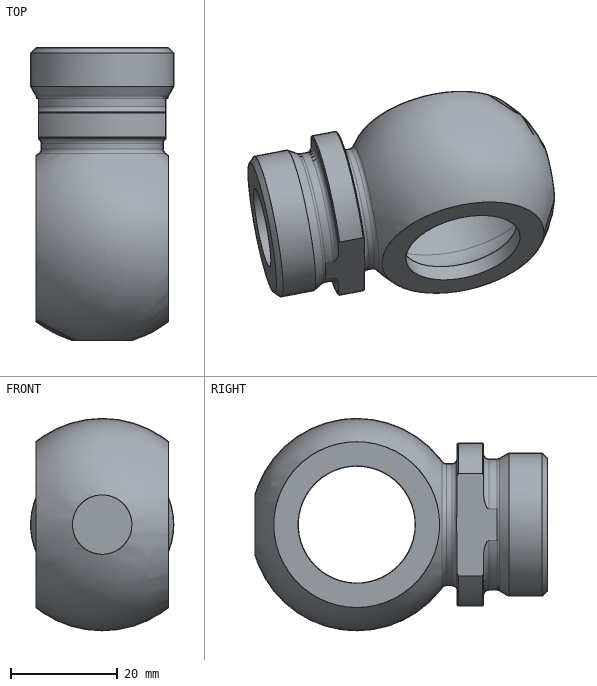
import cadquery as cq
import math

ball_radius = 20.01
eye_width = 25.0
nose_flat_y = -19.2
eye_bore_diameter = 22.0

chamber_diameter = 32.0
chamber_floor_width = 7.2
chamber_fillet = 6.0

stem_end_y = nose_flat_y + 55.2
stem_bore_diameter = 15.0
ball_neck_radius = 23.0 / 2
thread_radius = 27.0 / 2
end_chamfer = 1.05
thread_start_y = 28.65
undercut_radius = 12.35
undercut_cone_angle = 30
neck_fillet = 1.0

collar_radius = 15.4
collar_front_y = 18.95
collar_back_y = 23.9
collar_chamfer = 0.2
flats_width = 24.0
flats_back_y = 26.45


def make_ball():
    ball = cq.Workplane("XY").sphere(ball_radius)
    trimmed_length = ball_radius - nose_flat_y
    envelope = cq.Workplane("XY").box(eye_width, trimmed_length, 2 * ball_radius)
    return ball.intersect(envelope.translate((0, nose_flat_y + trimmed_length / 2, 0)))


def make_ball_neck():
    """Inner stem section: a neck flaring tangentially onto the ball."""
    arc_center_r = ball_neck_radius + neck_fillet
    arc_center_y = math.sqrt((ball_radius + neck_fillet) ** 2 - arc_center_r ** 2)
    contact_scale = ball_radius / (ball_radius + neck_fillet)
    contact_r = arc_center_r * contact_scale
    contact_y = arc_center_y * contact_scale
    middle_angle = math.atan2(arc_center_y, arc_center_r) / 2
    arc_middle = (
        arc_center_r - neck_fillet * math.cos(middle_angle),
        arc_center_y - neck_fillet * math.sin(middle_angle),
    )
    return (
        cq.Workplane("XY")
        .moveTo(0, 0)
        .lineTo(contact_r, contact_y)
        .threePointArc(arc_middle, (ball_neck_radius, arc_center_y))
        .lineTo(ball_neck_radius, collar_front_y)
        .lineTo(0, collar_front_y)
        .close()
        .revolve(360, (0, 0, 0), (0, 1, 0))
        .intersect(cq.Workplane("XY").box(eye_width, 2 * stem_end_y, 2 * ball_radius))
    )


def make_stem():
    cone_length = (thread_radius - undercut_radius) / math.tan(math.radians(undercut_cone_angle))
    undercut_end_y = thread_start_y - cone_length
    tangent_length = neck_fillet * math.tan(math.radians(undercut_cone_angle / 2))
    cone_sin = math.sin(math.radians(undercut_cone_angle))
    cone_cos = math.cos(math.radians(undercut_cone_angle))
    undercut_tangent = (undercut_radius, undercut_end_y - tangent_length)
    cone_tangent = (
        undercut_radius + tangent_length * cone_sin,
        undercut_end_y + tangent_length * cone_cos,
    )
    front_arc_center = (ball_neck_radius + neck_fillet, collar_front_y - neck_fillet)
    back_arc_center = (undercut_radius + neck_fillet, collar_back_y + neck_fillet)
    half_leg = neck_fillet * math.sqrt(0.5)
    return (
        cq.Workplane("XY")
        .moveTo(0, front_arc_center[1])
        .lineTo(ball_neck_radius, front_arc_center[1])
        .threePointArc(
            (front_arc_center[0] - half_leg, front_arc_center[1] + half_leg),
            (front_arc_center[0], collar_front_y),
        )
        .lineTo(collar_radius - collar_chamfer, collar_front_y)
        .lineTo(collar_radius, collar_front_y + collar_chamfer)
        .lineTo(collar_radius, collar_back_y - collar_chamfer)
        .lineTo(collar_radius - collar_chamfer, collar_back_y)
        .lineTo(back_arc_center[0], collar_back_y)
        .threePointArc(
            (back_arc_center[0] - half_leg, back_arc_center[1] - half_leg),
            (undercut_radius, back_arc_center[1]),
        )
        .lineTo(*undercut_tangent)
        .tangentArcPoint(cone_tangent, relative=False)
        .lineTo(thread_radius, thread_start_y)
        .lineTo(thread_radius, stem_end_y - end_chamfer)
        .lineTo(thread_radius - end_chamfer, stem_end_y)
        .lineTo(0, stem_end_y)
        .close()
        .revolve(360, (0, 0, 0), (0, 1, 0))
    )


def make_flat_cutter(side):
    """Block removing everything outside one wrench flat; side is -1 or +1."""
    front_y = collar_front_y - neck_fillet
    block = cq.Workplane("XY").box(collar_radius, flats_back_y - front_y, 2 * collar_radius)
    return block.translate(
        (side * (flats_width + collar_radius) / 2, (front_y + flats_back_y) / 2, 0)
    )


def make_eye_cavity():
    """Bore along X opening into the wider chamber."""
    bore_radius = eye_bore_diameter / 2
    chamber_radius = chamber_diameter / 2
    half_floor = chamber_floor_width / 2
    arc_center_r = chamber_radius - chamber_fillet
    end_angle = math.asin((bore_radius - arc_center_r) / chamber_fillet)
    mouth_x = half_floor + chamber_fillet * math.cos(end_angle)
    middle_angle = (end_angle + math.pi / 2) / 2
    arc_middle_x = half_floor + chamber_fillet * math.cos(middle_angle)
    arc_middle_r = arc_center_r + chamber_fillet * math.sin(middle_angle)
    return (
        cq.Workplane("XY")
        .moveTo(-eye_width / 2, 0)
        .lineTo(-eye_width / 2, bore_radius)
        .lineTo(-mouth_x, bore_radius)
        .threePointArc((-arc_middle_x, arc_middle_r), (-half_floor, chamber_radius))
        .lineTo(half_floor, chamber_radius)
        .threePointArc((arc_middle_x, arc_middle_r), (mouth_x, bore_radius))
        .lineTo(eye_width / 2, bore_radius)
        .lineTo(eye_width / 2, 0)
        .close()
        .revolve(360, (0, 0, 0), (1, 0, 0))
    )


def make_stem_bore():
    return (
        cq.Workplane("XZ")
        .circle(stem_bore_diameter / 2)
        .extrude(-stem_end_y)
    )


stem = make_stem()
for flat_side in (-1, 1):
    stem = stem.cut(make_flat_cutter(flat_side))

result = (
    make_ball()
    .union(make_ball_neck())
    .union(stem)
    .cut(make_eye_cavity())
    .cut(make_stem_bore())
)